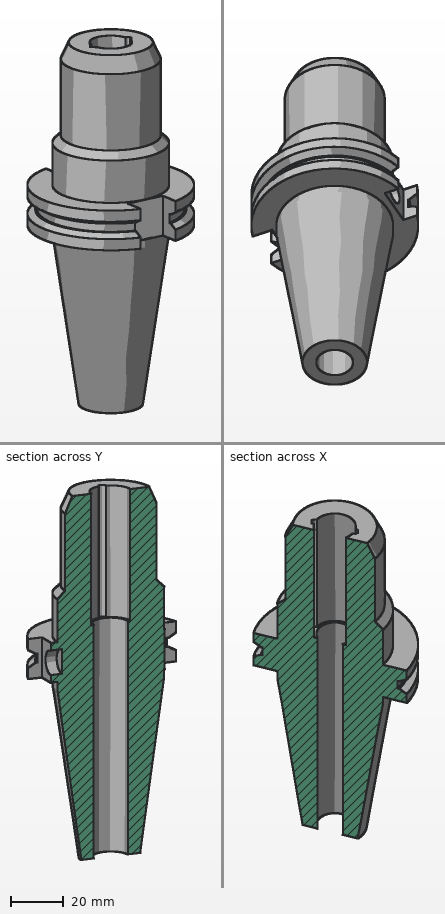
import cadquery as cq
import math

total_height = 144.5
taper_length = 68.2
flange_bottom = 71.5
flange_height = 15.9
flange_top = flange_bottom + flange_height
groove_center = flange_bottom + flange_height / 2
shoulder_height = 104.3
nose_start = 107.3
tip_start = 137.8

taper_rate = 7 / 24
body_diameter = 44.5
taper_end_diameter = body_diameter - taper_rate * taper_length
flange_diameter = 63.5
groove_root_diameter = 56.2
nose_diameter = 38.1
tip_diameter = 32.0

groove_mouth = 7.0
groove_channel = 3.5
groove_flank_angle = 30
flank_depth = (groove_mouth - groove_channel) / 2 / math.tan(math.radians(groove_flank_angle))
channel_edge_diameter = flange_diameter - 2 * flank_depth

slot_width = 16.3
left_slot_distance = 25.0
right_slot_distance = 22.5

pocket_diameter = 9.5
pocket_depth = 4.6

through_diameter = 14.0
bore_diameter = 16.0
bore_depth = 52.0
coolant_groove_diameter = 2.9


def make_body():
    """Taper, flange, collar and nose turned around the Z axis."""
    outline = [
        (0, 0),
        (taper_end_diameter / 2, 0),
        (body_diameter / 2, taper_length),
        (body_diameter / 2, flange_bottom),
        (flange_diameter / 2, flange_bottom),
        (flange_diameter / 2, groove_center - groove_mouth / 2),
        (channel_edge_diameter / 2, groove_center - groove_channel / 2),
        (groove_root_diameter / 2, groove_center - groove_channel / 2),
        (groove_root_diameter / 2, groove_center + groove_channel / 2),
        (channel_edge_diameter / 2, groove_center + groove_channel / 2),
        (flange_diameter / 2, groove_center + groove_mouth / 2),
        (flange_diameter / 2, flange_top),
        (body_diameter / 2, flange_top),
        (body_diameter / 2, shoulder_height),
        (nose_diameter / 2, nose_start),
        (nose_diameter / 2, tip_start),
        (tip_diameter / 2, total_height),
        (0, total_height),
    ]
    return cq.Workplane("XZ").polyline(outline).close().revolve(360, (0, 0), (0, 1))


def make_drive_slot(floor_distance, side):
    """Box that opens the flange rim; side is -1 for -X and 1 for +X."""
    slot_length = flange_diameter / 2
    slot = cq.Workplane("XY").box(slot_length, slot_width, flange_height, centered=(True, True, False))
    return slot.translate((side * (floor_distance + slot_length / 2), 0, flange_bottom))


def make_slot_pocket():
    """Blind round pocket running in +X from the floor of the -X slot."""
    floor_plane = cq.Workplane("YZ", origin=(-left_slot_distance, 0, groove_center))
    return floor_plane.circle(pocket_diameter / 2).extrude(pocket_depth)


def make_bores():
    """Through hole, wider tool bore and two round coolant grooves in its wall."""
    through_hole = cq.Workplane("XY").circle(through_diameter / 2).extrude(total_height)
    bore_floor = cq.Workplane("XY", origin=(0, 0, total_height - bore_depth))
    tool_bore = bore_floor.circle(bore_diameter / 2).extrude(bore_depth)
    groove_places = [(0, side * bore_diameter / 2) for side in (-1, 1)]
    coolant_grooves = (
        bore_floor.pushPoints(groove_places)
        .circle(coolant_groove_diameter / 2)
        .extrude(bore_depth)
    )
    return through_hole.union(tool_bore).union(coolant_grooves)


result = (
    make_body()
    .cut(make_drive_slot(left_slot_distance, -1))
    .cut(make_drive_slot(right_slot_distance, 1))
    .cut(make_slot_pocket())
    .cut(make_bores())
)